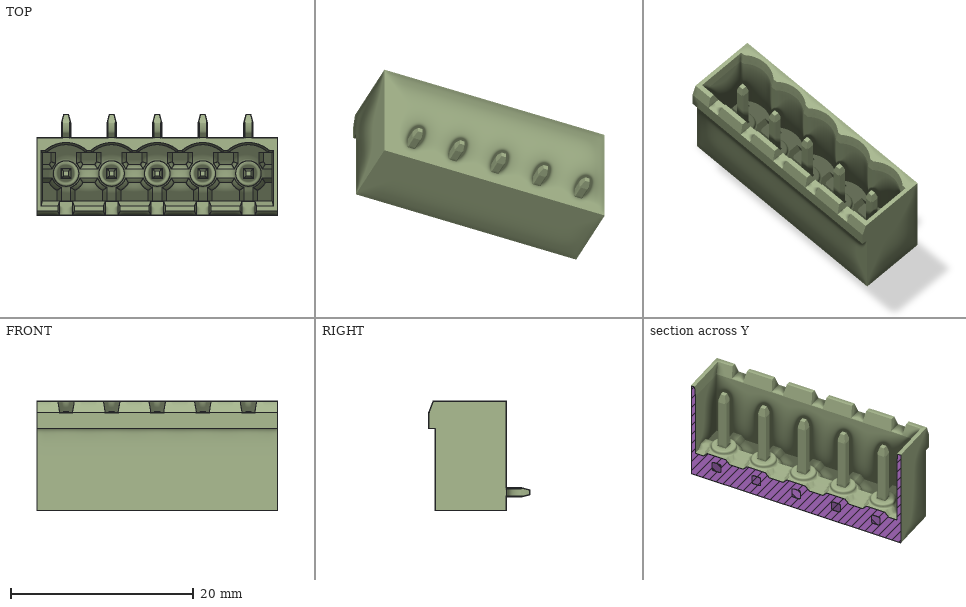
import cadquery as cq

LENGTH = 26.4
HEIGHT = 12.0
PIN_COUNT = 5
PIN_SPAN = 20.0
BACK_Y = 3.93
FRONT_Y = -3.88

LIP_FRONT_Y = -4.6
LIP_HEIGHT = 3.0
LIP_BEVEL_HEIGHT = 1.27
LIP_BEVEL_DEPTH = 0.48

CAVITY_HALF_LENGTH = 12.62
CAVITY_FRONT_Y = -3.04
CAVITY_BACK_Y = 2.3
FLOOR_Z = 3.0
MOUTH_DEPTH = 1.32
MOUTH_FLARE = 0.25
MOUTH_END_FLARE = 0.12
MOUTH_FRONT_FLARE = 0.53
SCALLOP_RADIUS = 3.17

RIB_HEIGHT = 0.5
RIB_WIDTH = 1.0
PLATEAU_WIDTH = 2.3
BOSS_RADIUS = 1.4
BOSS_FILLET = 0.2
BOSS_HEIGHT = 0.5

SLOT_FLOOR_WIDTH = 1.4
SLOT_TOP_WIDTH = 1.82

PIN_WIDTH = 1.03
PIN_CHAMFER = 0.13
PIN_TIP_WIDTH = 0.53
PIN_HOLE_WIDTH = 1.1
PIN_TAPER = 0.95
PIN_TOP_GAP = 1.1
PIN_TAIL_Z = 2.0
PIN_TAIL_LENGTH = 2.55

PITCH = PIN_SPAN / (PIN_COUNT - 1)
LIP_BOTTOM_Z = HEIGHT - LIP_HEIGHT
BEVEL_Z = HEIGHT - LIP_BEVEL_HEIGHT
MOUTH_Z = HEIGHT - MOUTH_DEPTH
RIB_TOP_Z = FLOOR_Z + RIB_HEIGHT
PIN_TOP_Z = HEIGHT - PIN_TOP_GAP
TAIL_END_Y = BACK_Y + PIN_TAIL_LENGTH
PIN_XS = [(i - (PIN_COUNT - 1) / 2) * PITCH for i in range(PIN_COUNT)]


def box(x0, x1, y0, y1, z0, z1):
    return cq.Workplane("XY").box(x1 - x0, y1 - y0, z1 - z0, centered=False).translate((x0, y0, z0))


def rectangle_wire(half_length, y0, y1, z):
    corners = [(-half_length, y0, z), (half_length, y0, z), (half_length, y1, z), (-half_length, y1, z)]
    return cq.Wire.makePolygon([cq.Vector(*corner) for corner in corners], close=True)


def shell_block():
    """Plain housing block with the bevelled lip on its front."""
    profile = [
        (BACK_Y, 0),
        (BACK_Y, HEIGHT),
        (LIP_FRONT_Y + LIP_BEVEL_DEPTH, HEIGHT),
        (LIP_FRONT_Y, BEVEL_Z),
        (LIP_FRONT_Y, LIP_BOTTOM_Z),
        (FRONT_Y, LIP_BOTTOM_Z),
        (FRONT_Y, 0),
    ]
    return cq.Workplane("YZ").polyline(profile).close().extrude(LENGTH / 2, both=True)


def cavity_prism(z0, z1):
    return box(-CAVITY_HALF_LENGTH, CAVITY_HALF_LENGTH, CAVITY_FRONT_Y, CAVITY_BACK_Y, z0, z1)


def mouth_flare():
    """Tapered opening at the top of the cavity."""
    lower = rectangle_wire(CAVITY_HALF_LENGTH, CAVITY_FRONT_Y, CAVITY_BACK_Y, MOUTH_Z)
    upper = rectangle_wire(
        CAVITY_HALF_LENGTH + MOUTH_END_FLARE,
        CAVITY_FRONT_Y - MOUTH_FRONT_FLARE,
        CAVITY_BACK_Y + MOUTH_FLARE,
        HEIGHT,
    )
    return cq.Workplane(cq.Solid.makeLoft([lower, upper], True))


def scallop(x):
    """Round relief in the back wall behind a pin, flared like the mouth and resting at rib height."""
    profile = [
        (0, RIB_TOP_Z),
        (SCALLOP_RADIUS, RIB_TOP_Z),
        (SCALLOP_RADIUS, MOUTH_Z),
        (SCALLOP_RADIUS + MOUTH_FLARE, HEIGHT),
        (0, HEIGHT),
    ]
    round_cut = cq.Workplane("XZ").polyline(profile).close().revolve(360, (0, 0), (0, 1))
    behind_wall = box(-PITCH, PITCH, CAVITY_BACK_Y, BACK_Y, 0, HEIGHT)
    return round_cut.intersect(behind_wall).translate((x, 0, 0))


def rib_profile(plane, top_width):
    """Rib section with 45 degree flanks, standing on the cavity floor."""
    half_top = top_width / 2
    half_base = half_top + RIB_HEIGHT
    section = [
        (-half_base, FLOOR_Z),
        (-half_top, RIB_TOP_Z),
        (half_top, RIB_TOP_Z),
        (half_base, FLOOR_Z),
    ]
    return cq.Workplane(plane).polyline(section).close()


def long_rib():
    return rib_profile("YZ", RIB_WIDTH).extrude(CAVITY_HALF_LENGTH, both=True)


def front_rib(x):
    return rib_profile("XZ", RIB_WIDTH).extrude(-CAVITY_FRONT_Y).translate((x, 0, 0))


def rear_plateau(x):
    return rib_profile("XZ", PLATEAU_WIDTH).extrude(-CAVITY_BACK_Y).translate((x, 0, 0))


def boss(x):
    """Cone up to rib height, then a round collar with a filleted foot and a rounded rim."""
    top_z = RIB_TOP_Z + BOSS_HEIGHT
    foot_radius = BOSS_RADIUS + BOSS_FILLET
    profile = (
        cq.Workplane("XZ")
        .moveTo(0, FLOOR_Z)
        .lineTo(foot_radius + RIB_HEIGHT, FLOOR_Z)
        .lineTo(foot_radius, RIB_TOP_Z)
        .radiusArc((BOSS_RADIUS, RIB_TOP_Z + BOSS_FILLET), BOSS_FILLET)
        .lineTo(BOSS_RADIUS, top_z - BOSS_FILLET)
        .radiusArc((BOSS_RADIUS - BOSS_FILLET, top_z), -BOSS_FILLET)
        .lineTo(0, top_z)
        .close()
    )
    return profile.revolve(360, (0, 0), (0, 1)).translate((x, 0, 0))


def keying_slot(x):
    """Slot with leaning sides through the front wall, its floor level with the foot of the lip bevel."""
    section = [
        (-SLOT_FLOOR_WIDTH / 2, BEVEL_Z),
        (-SLOT_TOP_WIDTH / 2, HEIGHT),
        (SLOT_TOP_WIDTH / 2, HEIGHT),
        (SLOT_FLOOR_WIDTH / 2, BEVEL_Z),
    ]
    return cq.Workplane("XZ").polyline(section).close().extrude(-LIP_FRONT_Y).translate((x, 0, 0))


def tapered_bar(length):
    """Square bar along +Z with chamfered long edges and a pyramid tip at its far end."""
    bar = cq.Workplane("XY").rect(PIN_WIDTH, PIN_WIDTH).extrude(length).edges("|Z").chamfer(PIN_CHAMFER)
    shank = cq.Workplane("XY").rect(PIN_WIDTH, PIN_WIDTH).extrude(length - PIN_TAPER)
    envelope = (
        shank.faces(">Z").workplane().rect(PIN_WIDTH, PIN_WIDTH)
        .workplane(offset=PIN_TAPER).rect(PIN_TIP_WIDTH, PIN_TIP_WIDTH).loft(ruled=True, combine=True)
    )
    return bar.intersect(envelope)


def contact_pin(x):
    """Upright contact with a tail that leaves through the back of the housing."""
    heel_z = PIN_TAIL_Z - PIN_WIDTH / 2
    heel_y = -PIN_WIDTH / 2
    upright = tapered_bar(PIN_TOP_Z - heel_z).translate((0, 0, heel_z))
    tail = tapered_bar(TAIL_END_Y - heel_y).rotate((0, 0, 0), (1, 0, 0), -90)
    tail = tail.translate((0, heel_y, PIN_TAIL_Z))
    return upright.union(tail).translate((x, 0, 0))


def pin_hole(x):
    """Square hole through a boss and the raised floor, slightly wider than the pin."""
    half_width = PIN_HOLE_WIDTH / 2
    hole = box(-half_width, half_width, -half_width, half_width, FLOOR_Z, HEIGHT)
    return hole.translate((x, 0, 0))


def build_housing(pins):
    raised_floor = long_rib()
    for x in PIN_XS:
        raised_floor = raised_floor.union(front_rib(x)).union(rear_plateau(x)).union(boss(x))
    raised_floor = raised_floor.intersect(cavity_prism(FLOOR_Z, MOUTH_Z))

    body = shell_block().cut(cavity_prism(FLOOR_Z, MOUTH_Z)).cut(mouth_flare())
    for x in PIN_XS:
        body = body.cut(scallop(x)).cut(keying_slot(x))
    body = body.union(raised_floor)
    for pin, x in zip(pins, PIN_XS):
        body = body.cut(pin).cut(pin_hole(x))
    return body


contact_pins = [contact_pin(x) for x in PIN_XS]
housing = build_housing(contact_pins)
result = cq.Compound.makeCompound([housing.val(), *[pin.val() for pin in contact_pins]])